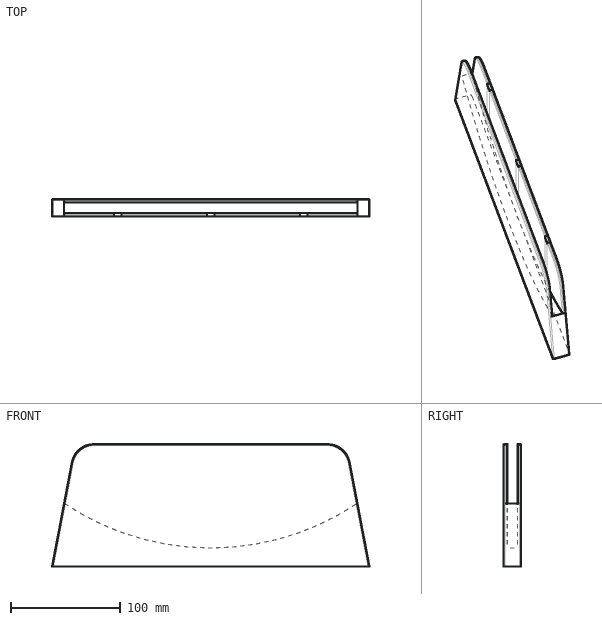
import cadquery as cq
import math

base_length = 290.0
thickness = 16.0
height = 112.0
side_angle = math.radians(10.8)
corner_radius = 21.0
outer_fillet = 1.25

slot_width = 9.6
slot_end_height = 58.0
slot_floor_radius = 240.0
slot_fillet = 1.0

rib_spacing = 85.0
rib_width = 7.0
rib_projection = 0.4

tolerance = 0.01
half_base = base_length / 2
half_top = half_base - height * math.tan(side_angle)
half_slot_end = half_base - slot_end_height * math.tan(side_angle)


def make_body():
    """Upright trapezoid plate with rounded top corners and softened rims."""
    outline = [(-half_base, 0), (half_base, 0), (half_top, height), (-half_top, height)]
    plate = cq.Workplane("XZ").polyline(outline).close().extrude(thickness / 2, both=True)
    top_corners = plate.faces(">Z").edges("|Y")
    plate = plate.newObject(top_corners.vals()).fillet(corner_radius)
    return plate.faces("<Y or >Y").edges("not <Z").fillet(outer_fillet)


def make_slot():
    """Disc-shaped slot: the floor is an arc through the slot height at both end faces."""
    center_z = slot_end_height + math.sqrt(slot_floor_radius**2 - half_slot_end**2)
    return cq.Workplane("XZ").center(0, center_z).circle(slot_floor_radius).extrude(slot_width / 2, both=True)


def soften_slot_rims(body):
    """Round the outer rims of the slot walls, from one floor end over the top to the other."""
    half_slot = slot_width / 2
    rims = []
    for face in body.faces().vals():
        center = face.Center()
        normal = face.normalAt(center)
        if abs(abs(center.y) - half_slot) < tolerance and abs(normal.y) > 1 - tolerance:
            rims += [edge for edge in face.Edges() if edge.Center().z > slot_end_height]
    return body.newObject(rims).fillet(slot_fillet)


def make_rib(x):
    """Upright rib with a shallow arc face, rising through the slot floor to the top edge."""
    wall_y = -slot_width / 2
    root_y = wall_y - slot_fillet
    return (
        cq.Workplane("XY")
        .moveTo(x - rib_width / 2, root_y)
        .lineTo(x - rib_width / 2, wall_y)
        .threePointArc((x, wall_y + rib_projection), (x + rib_width / 2, wall_y))
        .lineTo(x + rib_width / 2, root_y)
        .close()
        .extrude(height)
    )


result = soften_slot_rims(make_body().cut(make_slot()))
for position in (-1, 0, 1):
    result = result.union(make_rib(position * rib_spacing))